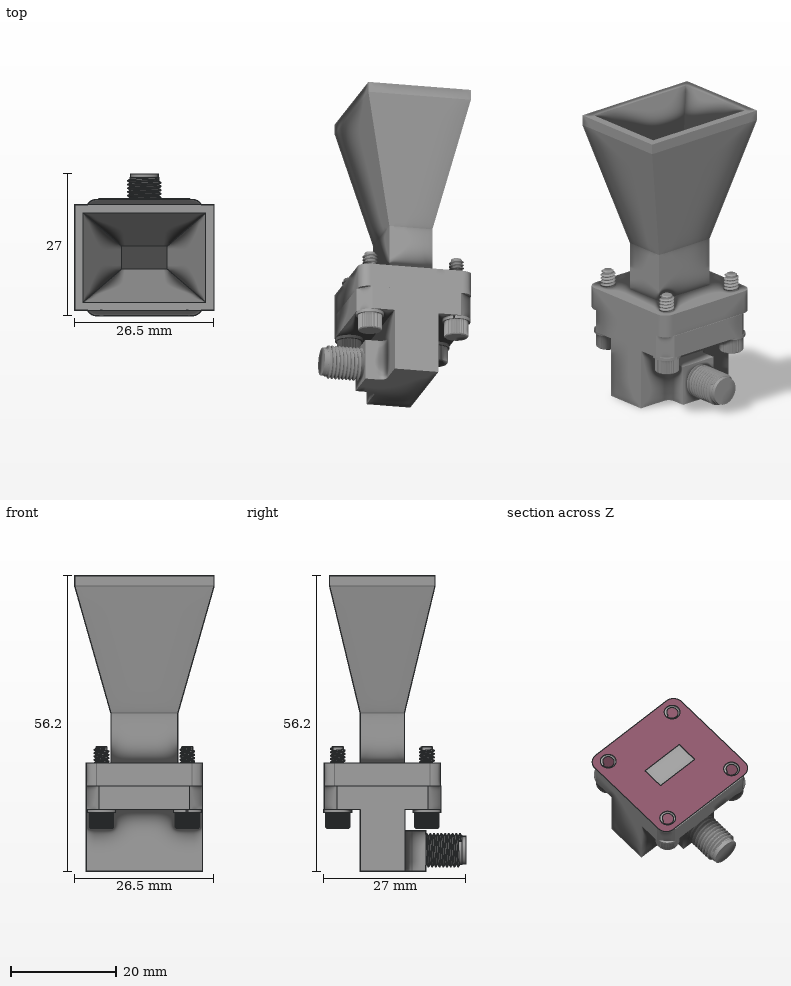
import cadquery as cq
import math

total_height = 56.15
mouth_x, mouth_y = 26.5, 20.05
mouth_bore_x, mouth_bore_y = 23.25, 16.95
lip_height = 1.95
neck_x, neck_y = 12.75, 8.4
neck_top_z = 30.05
waveguide_x, waveguide_y = 8.65, 4.3
flange_side = 22.1
flange_thickness = 4.45
horn_flange_radius = 2.0

stem_height = 11.75
stem_front_y = -neck_y / 2
stem_back_y = 4.3
adapter_flange_back_y = 11.15
adapter_chamfer = 2.45
plate_side = 7.75
plate_length = 3.95
plate_fillet = 1.3
connector_z = 4.05
connector_major_diameter = 6.35
connector_minor_diameter = 5.5
connector_thread_length = 6.9
connector_thread_turns = 9.8
connector_lip_diameter = 5.35
connector_lip_length = 0.75

screw_spacing_x, screw_spacing_y = 16.3, 16.9
screw_major_diameter = 2.8
screw_minor_diameter = 2.15
screw_length = 12.6
screw_thread_turns = 12
screw_tip_chamfer = 0.15
screw_hole_diameter = 2.9
head_diameter = 4.6
head_height = 3.0
head_chamfer = 0.2
knurl_count = 48
knurl_depth = 0.1
washer_diameter = 5.35
washer_hole_diameter = 3.0
washer_thickness = 0.55
washer_gap = 0.4

root_width_ratio = 0.9
crest_width_ratio = 0.12
root_overlap = 0.05

joint_z = stem_height + flange_thickness
horn_flange_top_z = joint_z + flange_thickness
lip_base_z = total_height - lip_height
washer_bottom_z = stem_height - washer_thickness
plate_end_y = stem_back_y + plate_length
shank_length = joint_z - washer_bottom_z
screw_thread_length = screw_length - shank_length
screw_pitch = screw_thread_length / screw_thread_turns
connector_pitch = connector_thread_length / connector_thread_turns
screw_points = [
    (side_x * screw_spacing_x / 2, side_y * screw_spacing_y / 2)
    for side_x in (-1, 1)
    for side_y in (-1, 1)
]
washer_gap_angles = [157, 0, 268, 90]


def block(size_x, size_y, bottom_z, top_z):
    """Rectangular block centred on the Z axis."""
    base = cq.Workplane("XY").workplane(offset=bottom_z)
    return base.rect(size_x, size_y).extrude(top_z - bottom_z)


def taper(bottom_size, top_size, bottom_z, top_z):
    """Pyramid frustum between two centred rectangles."""
    base = cq.Workplane("XY").workplane(offset=bottom_z).rect(*bottom_size)
    return base.workplane(offset=top_z - bottom_z).rect(*top_size).loft(ruled=True)


def screw_holes(bottom_z, top_z):
    """Cylinders to cut at the four screw positions."""
    base = cq.Workplane("XY").workplane(offset=bottom_z).pushPoints(screw_points)
    return base.circle(screw_hole_diameter / 2).extrude(top_z - bottom_z)


def threaded_rod(major_diameter, minor_diameter, pitch, length, tip_chamfer):
    """Rod along +Z from the origin with a helical V thread and, if asked for, a chamfered far end."""
    minor_radius = minor_diameter / 2
    major_radius = major_diameter / 2
    root_radius = minor_radius - root_overlap
    half_root = root_width_ratio * pitch / 2
    half_crest = crest_width_ratio * pitch / 2
    helix = cq.Wire.makeHelix(pitch, length - tip_chamfer - 2 * half_root, minor_radius)
    ridge = (
        cq.Workplane("XZ")
        .polyline([
            (root_radius, -half_root),
            (major_radius, -half_crest),
            (major_radius, half_crest),
            (root_radius, half_root),
        ])
        .close()
        .sweep(cq.Workplane(helix), isFrenet=True)
        .translate((0, 0, half_root))
    )
    core = cq.Workplane("XY").circle(minor_radius).extrude(length)
    if tip_chamfer:
        core = core.faces(">Z").chamfer(tip_chamfer)
    return core.union(ridge, clean=False)


def make_horn():
    """Rectangular horn with its neck and flange, hollow from the joint face to the mouth."""
    flange = block(flange_side, flange_side, joint_z, horn_flange_top_z)
    flange = flange.edges("|Z").fillet(horn_flange_radius)
    neck = block(neck_x, neck_y, horn_flange_top_z, neck_top_z)
    flare = taper((neck_x, neck_y), (mouth_x, mouth_y), neck_top_z, lip_base_z)
    lip = block(mouth_x, mouth_y, lip_base_z, total_height)
    waveguide = block(waveguide_x, waveguide_y, joint_z, neck_top_z)
    flare_bore = taper(
        (waveguide_x, waveguide_y), (mouth_bore_x, mouth_bore_y), neck_top_z, total_height
    )
    solid_horn = flange.union(neck).union(flare).union(lip)
    return solid_horn.cut(waveguide).cut(flare_bore).cut(screw_holes(joint_z, horn_flange_top_z))


def make_connector():
    """Mounting plate, threaded barrel and end lip, pointing along +Y from the stem."""
    half_plate = plate_side / 2
    plate = (
        cq.Workplane("XY")
        .moveTo(-half_plate - plate_fillet, stem_back_y)
        .radiusArc((-half_plate, stem_back_y + plate_fillet), -plate_fillet)
        .lineTo(-half_plate, plate_end_y)
        .lineTo(half_plate, plate_end_y)
        .lineTo(half_plate, stem_back_y + plate_fillet)
        .radiusArc((half_plate + plate_fillet, stem_back_y), -plate_fillet)
        .close()
        .extrude(plate_side)
    )
    barrel = threaded_rod(
        connector_major_diameter,
        connector_minor_diameter,
        connector_pitch,
        connector_thread_length + connector_pitch,
        tip_chamfer=0,
    ).translate((0, 0, -connector_pitch))
    lip = (
        cq.Workplane("XY")
        .workplane(offset=connector_thread_length)
        .circle(connector_lip_diameter / 2)
        .extrude(connector_lip_length)
    )
    barrel = barrel.union(lip, clean=False).rotate((0, 0, 0), (1, 0, 0), -90)
    return plate.union(barrel.translate((0, plate_end_y, connector_z)), clean=False)


def make_adapter():
    """Rectangular stem with its bolted flange and side connector."""
    stem_y = stem_back_y - stem_front_y
    stem = block(flange_side, stem_y, 0, stem_height).translate((0, stem_front_y + stem_y / 2, 0))
    flange_front_y = -flange_side / 2
    flange_y = adapter_flange_back_y - flange_front_y
    flange = (
        block(flange_side, flange_y, stem_height, joint_z)
        .translate((0, flange_front_y + flange_y / 2, 0))
        .edges("|Z")
        .chamfer(adapter_chamfer)
    )
    body = stem.union(flange).cut(screw_holes(stem_height, joint_z))
    return body.union(make_connector(), clean=False)


def make_washer(x, y, gap_angle):
    """Split lock washer whose gap points along gap_angle, in degrees from +X."""
    ring = (
        cq.Workplane("XY")
        .workplane(offset=washer_bottom_z)
        .center(x, y)
        .circle(washer_diameter / 2)
        .circle(washer_hole_diameter / 2)
        .extrude(washer_thickness)
    )
    gap = (
        cq.Workplane("XY")
        .rect(washer_diameter, washer_gap)
        .extrude(washer_thickness)
        .translate((washer_diameter / 2, 0, washer_bottom_z))
        .rotate((0, 0, 0), (0, 0, 1), gap_angle)
        .translate((x, y, 0))
    )
    return ring.cut(gap)


def make_screw():
    """Screw with its head seat at the origin and its shank along +Z."""
    head_radius = head_diameter / 2
    knurl_points = []
    for step in range(2 * knurl_count):
        radius = head_radius - knurl_depth * (step % 2)
        angle = math.pi * step / knurl_count
        knurl_points.append((radius * math.cos(angle), radius * math.sin(angle)))
    knurled = cq.Workplane("XY").polyline(knurl_points).close().extrude(-head_height)
    blank = cq.Workplane("XY").circle(head_radius).extrude(-head_height).faces("<Z").chamfer(head_chamfer)
    shank = cq.Workplane("XY").circle(screw_major_diameter / 2).extrude(shank_length)
    thread = threaded_rod(
        screw_major_diameter,
        screw_minor_diameter,
        screw_pitch,
        screw_thread_length,
        screw_tip_chamfer,
    ).translate((0, 0, shank_length))
    return knurled.intersect(blank).union(shank).union(thread, clean=False)


horn = make_horn()
adapter = make_adapter()
washers = [make_washer(x, y, angle) for (x, y), angle in zip(screw_points, washer_gap_angles)]
screw = make_screw()
screws = [screw.translate((x, y, washer_bottom_z)) for x, y in screw_points]

result = cq.Compound.makeCompound([
    horn.solids().val(),
    adapter.solids().val(),
    *[washer.solids().val() for washer in washers],
    *[placed.solids().val() for placed in screws],
])